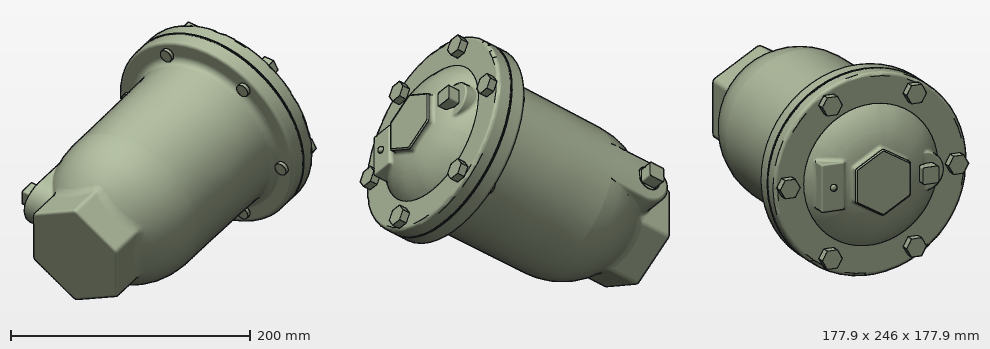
import cadquery as cq
import math

total_length = 246.0

dome_radius = 68.5
dome_center_y = 81.7
wall_top_radius = 69.5
flange_fillet = 6.2

flange_radius = 88.95
flange_front_y = 192.5
flange_back_y = 221.2
flange_edge_fillet = 3.0
gasket_front_y = 206.5
gasket_thickness = 1.2
gasket_recess = 1.0

inlet_across_flats = 86.1
inlet_corner_fillet = 5.0
inlet_edge_fillet = 2.5
inlet_base_fillet = 9.8

side_boss_radius = 21.0
side_boss_y = 43.0
side_boss_edge_fillet = 3.0
side_boss_base_fillet = 2.5
spotface_radius = 10.8
spotface_depth = 1.2

plug_size = 14.8
plug_corner_fillet = 1.7
side_plug_reach = 78.5
side_plug_root_depth = 5.0
cover_plug_top_y = 244.4

bolt_count = 6
bolt_circle_radius = 77.8
bolt_head_across_flats = 16.0
bolt_head_top_y = 228.4
bolt_end_radius = 5.7
bolt_end_y = 189.0

cover_rim_radius = 62.0
cover_mid_radius = 47.2
cover_mid_y = 233.0
cover_crown_radius = 24.5
cover_crown_y = 240.2
neck_across_flats = 51.0
neck_corner_fillet = 3.0
neck_edge_chamfer = 1.2
neck_base_fillet = 3.0

cover_boss_radius = 17.0
cover_boss_x = -44.5
cover_boss_top_y = 233.8
cover_boss_edge_fillet = 1.5
cover_boss_base_fillet = 3.0
block_inner_x = 32.7
block_outer_x = 54.1
block_width = 41.8
block_top_y = 240.5
block_edge_fillet = 1.5
block_base_fillet = 3.7
vent_radius = 3.0
vent_height = 2.7
vent_edge_fillet = 2.2

edge_sample_fractions = (0.2, 0.5, 0.8)
contact_tolerance = 0.002


def plane_at(y, x=0.0, z=0.0):
    """Workplane normal to +Y, with its local x axis along +Z."""
    return cq.Workplane(cq.Plane(origin=(x, y, z), xDir=(0, 0, 1), normal=(0, 1, 0)))


def cylinder(radius, start_y, end_y, x=0.0, z=0.0):
    return plane_at(start_y, x, z).circle(radius).extrude(end_y - start_y)


def hex_prism(across_flats, start_y, end_y):
    """Hexagonal prism on the axis with two corners in the Z direction."""
    across_corners = across_flats / math.cos(math.radians(30))
    return plane_at(start_y).polygon(6, across_corners).extrude(end_y - start_y)


def common_edges(joined, first, second):
    """Edges of the joined solid that lie on the surfaces of both original solids."""
    shells = [solid.val().Shells()[0] for solid in (first, second)]

    def lies_on_both(edge):
        points = [edge.positionAt(fraction).toTuple() for fraction in edge_sample_fractions]
        vertices = [cq.Vertex.makeVertex(*point) for point in points]
        return all(shell.distance(vertex) < contact_tolerance for shell in shells for vertex in vertices)

    return joined.newObject([edge for edge in joined.edges().vals() if lies_on_both(edge)])


def join_with_fillet(first, second, radius):
    joined = first.union(second)
    return common_edges(joined, first, second).fillet(radius)


def vessel():
    """Hemispherical end, slightly tapered wall and the flared root under the flange."""
    return (
        cq.Workplane("XY")
        .moveTo(0, dome_center_y - dome_radius)
        .radiusArc((dome_radius, dome_center_y), -dome_radius)
        .lineTo(wall_top_radius, flange_front_y - flange_fillet)
        .radiusArc((wall_top_radius + flange_fillet, flange_front_y), flange_fillet)
        .lineTo(0, flange_front_y)
        .close()
        .revolve(360, (0, 0, 0), (0, 1, 0))
    )


def inlet():
    solid = hex_prism(inlet_across_flats, 0, dome_center_y)
    return solid.edges("|Y").fillet(inlet_corner_fillet).faces("<Y").edges().fillet(inlet_edge_fillet)


def side_boss():
    """Round-ended boss cut to the cylindrical wall, so its face follows the wall."""
    pad_length = dome_center_y - side_boss_y
    round_end = cq.Workplane("YZ").center(side_boss_y, 0).circle(side_boss_radius)
    pad = cq.Workplane("YZ").center(side_boss_y + pad_length / 2, 0).rect(pad_length, 2 * side_boss_radius)
    boss = round_end.extrude(-flange_radius).union(pad.extrude(-flange_radius))
    boss = boss.intersect(cylinder(dome_radius, 0, dome_center_y))

    def on_outer_rim(edge):
        center = edge.Center()
        return center.x < -dome_radius / 2 and center.y < dome_center_y - side_boss_edge_fillet

    outer_rim = [edge for edge in boss.edges().vals() if on_outer_rim(edge)]
    return boss.newObject(outer_rim).fillet(side_boss_edge_fillet)


def flanges():
    solid = cylinder(flange_radius, flange_front_y, flange_back_y)
    solid = solid.faces("<Y or >Y").edges().fillet(flange_edge_fillet)
    gasket_radius = flange_radius - gasket_recess
    groove = plane_at(gasket_front_y).circle(flange_radius).circle(gasket_radius).extrude(gasket_thickness)
    return solid.cut(groove)


def square_plug(workplane, length):
    """Square plug head with rounded corners, extruded along the workplane normal."""
    plug = workplane.rect(plug_size, plug_size).extrude(length)
    return plug.edges(cq.selectors.ParallelDirSelector(workplane.plane.zDir)).fillet(plug_corner_fillet)


def cover():
    """Shallow dome carrying the hexagonal neck, the plug boss and the vent block."""
    inner_face_y = gasket_front_y + gasket_thickness
    dome = (
        cq.Workplane("XY")
        .moveTo(0, inner_face_y)
        .lineTo(cover_rim_radius, inner_face_y)
        .lineTo(cover_rim_radius, flange_back_y)
        .threePointArc((cover_mid_radius, cover_mid_y), (cover_crown_radius, cover_crown_y))
        .lineTo(0, cover_crown_y)
        .close()
        .revolve(360, (0, 0, 0), (0, 1, 0))
    )
    neck = hex_prism(neck_across_flats, flange_back_y, total_length)
    neck = neck.edges("|Y").fillet(neck_corner_fillet)
    neck = neck.faces(">Y").edges().chamfer(neck_edge_chamfer)
    solid = join_with_fillet(dome, neck, neck_base_fillet)

    boss = cylinder(cover_boss_radius, flange_back_y, cover_boss_top_y, cover_boss_x)
    boss = boss.faces(">Y").edges().fillet(cover_boss_edge_fillet)
    solid = join_with_fillet(solid, boss, cover_boss_base_fillet)
    solid = solid.union(square_plug(plane_at(flange_back_y, cover_boss_x), cover_plug_top_y - flange_back_y))

    block_center_x = (block_inner_x + block_outer_x) / 2
    block = plane_at(flange_back_y, block_center_x).rect(block_width, block_outer_x - block_inner_x)
    block = block.extrude(block_top_y - flange_back_y).edges("|Y or >Y").fillet(block_edge_fillet)
    solid = join_with_fillet(solid, block, block_base_fillet)
    vent = cylinder(vent_radius, flange_back_y, block_top_y + vent_height, block_center_x)
    return solid.union(vent.faces(">Y").edges().fillet(vent_edge_fillet))


def bolts():
    """Hexagonal heads behind the flanges and round ends in front, with head corners along X."""
    head = hex_prism(bolt_head_across_flats, flange_back_y, bolt_head_top_y).rotate((0, 0, 0), (0, 1, 0), 90)
    end = cylinder(bolt_end_radius, bolt_end_y, flange_back_y)
    bolt = head.union(end)
    pattern = cq.Workplane("XY")
    for index in range(bolt_count):
        angle = 2 * math.pi * index / bolt_count
        offset = (bolt_circle_radius * math.cos(angle), 0, bolt_circle_radius * math.sin(angle))
        pattern = pattern.add(bolt.translate(offset))
    return pattern.combine()


result = join_with_fillet(vessel(), inlet(), inlet_base_fillet)
result = join_with_fillet(result, side_boss(), side_boss_base_fillet)

spotface_plane = cq.Workplane("YZ", origin=(spotface_depth - dome_radius, side_boss_y, 0))
result = result.cut(spotface_plane.circle(spotface_radius).extrude(-dome_radius))
plug_plane = cq.Workplane("YZ", origin=(-side_plug_reach, side_boss_y, 0))
result = result.union(square_plug(plug_plane, side_plug_reach - dome_radius + side_plug_root_depth))

result = result.union(flanges()).union(cover()).union(bolts())